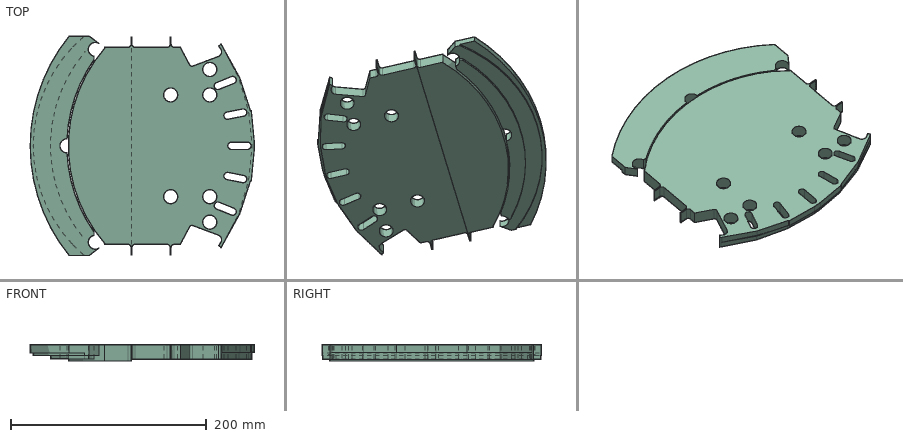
import cadquery as cq
import math


half_width = 112.185
total_height = 16.74
hole_radius = 7.05

plate_depth = 15.06
plate_front_x = 39.0
plate_front_radius = 152.6
plate_side_y = 100.8
plate_front_end_y = 99.9

side_end_x = 153.5
notch_root = (164.1, 80.8)
notch_root_fillet = 2.5
notch_end = (198.1, 93.5)
notch_end_fillet = 5.0
lug_inner_corner = (192.7, 101.9)
lug_tip = (195.1, 104.2)

lip_thickness = 7.9
rear_x = 229.16
rear_flat_half_width = 4.25
outer_facet_y = 69.5
inner_facet_y = 36.0
lip_outer_facet_x = 214.3
lip_inner_facet_x = 225.2
lip_step_x = 226.1
lower_start = (195.8, 103.0)
lower_outer_facet_x = 213.2
lower_inner_facet_x = 223.1
lower_rear_x = 226.5

fin_xs = (103.6, 143.6)
fin_thickness = 1.2
fin_tip_y = 111.4
fin_root_fillet = 2.9

deep_end_x = fin_xs[0]
deep_half_width = 104.4

hole_places = ((143.6, 52.0), (183.6, 52.0), (183.6, 78.0))
slot_length = 23.5
slot_width = 7.2
slot_angle_step = 11.0
slot_places = ((213.9, 0.0), (209.7, 32.4), (199.4, 64.2))

rim_gap = 1.35
rim_inner_radius = plate_front_radius + rim_gap
top_band_depth = 8.75
top_band_radius = 177.6
middle_band_depth = 11.3
middle_band_radius = 146.6
middle_band_front_x = 3.2
bottom_band_depth = 14.45
bottom_band_radius = 148.3
bottom_band_front_x = 20.8
bevel_start_x = 60.4
bevel_end = (70.5, 104.4)
rim_inner_end_x = 65.4
end_hole_place = (66.6, 98.5)
closing_overlap = 0.3
bottom_round_start_y = 95.4
bottom_round_middle = (57.2, 97.0)
bottom_round_end = (61.5, 97.4)


def arc_x(front_x, radius, y):
    """X at height y on an arc centred on the symmetry plane and bulging towards -X."""
    return front_x + radius - math.sqrt(radius**2 - y**2)


def arc_y(front_x, radius, x):
    """Y at place x on the positive-Y half of the same arc."""
    return math.sqrt(radius**2 - (front_x + radius - x) ** 2)


def half_arc_middle(front_x, radius, end_y):
    """Point halfway along the arc from the symmetry plane to end_y."""
    angle = math.asin(end_y / radius) / 2
    return (front_x + radius * (1 - math.cos(angle)), radius * math.sin(angle))


def drop(outline, depth):
    """Solid from the top face down to depth."""
    return outline.close().extrude(-depth)


def both_halves(half):
    return half.union(half.mirror("XZ")).clean()


def fillet_at(body, place, radius):
    """Round the vertical edge standing at place."""
    x, y = place
    reach = 0.1
    corner = cq.selectors.BoxSelector(
        (x - reach, y - reach, -2 * total_height),
        (x + reach, y + reach, total_height),
    )
    return body.edges("|Z").edges(corner).fillet(radius)


def plate_half(rear_points, depth):
    """Positive-Y half of the plate; rear_points run from the lug tip to the symmetry plane."""
    corner_x = arc_x(plate_front_x, plate_front_radius, plate_front_end_y)
    outline = (
        cq.Workplane("XY")
        .moveTo(plate_front_x, 0)
        .threePointArc(
            half_arc_middle(plate_front_x, plate_front_radius, plate_front_end_y),
            (corner_x, plate_front_end_y),
        )
        .lineTo(corner_x, plate_side_y)
        .lineTo(side_end_x, plate_side_y)
        .lineTo(*notch_root)
        .lineTo(*notch_end)
        .lineTo(*lug_inner_corner)
    )
    for point in rear_points:
        outline = outline.lineTo(*point)
    half = drop(outline, depth)
    half = fillet_at(half, notch_root, notch_root_fillet)
    half = fillet_at(half, notch_end, notch_end_fillet)
    return add_fins(half, depth)


def add_fins(half, depth):
    fin_length = fin_tip_y - plate_side_y
    for x in fin_xs:
        fin = (
            cq.Workplane("XY")
            .center(x, plate_side_y + fin_length / 2)
            .rect(fin_thickness, fin_length)
            .extrude(-depth)
        )
        half = half.union(fin)
        for side in (-1, 1):
            half = fillet_at(half, (x + side * fin_thickness / 2, plate_side_y), fin_root_fillet)
    return half


def make_plate():
    lip_points = (
        lug_tip,
        (lip_outer_facet_x, outer_facet_y),
        (lip_inner_facet_x, inner_facet_y),
        (lip_step_x, inner_facet_y),
        (rear_x, rear_flat_half_width),
        (rear_x, 0),
    )
    lower_points = (
        lug_tip,
        lower_start,
        (lower_outer_facet_x, outer_facet_y),
        (lower_inner_facet_x, inner_facet_y),
        (lower_rear_x, rear_flat_half_width),
        (lower_rear_x, 0),
    )
    lip = both_halves(plate_half(lip_points, lip_thickness))
    lower = both_halves(plate_half(lower_points, plate_depth))
    deep = both_halves(plate_half(lower_points, total_height))
    deep_zone = (
        cq.Workplane("XY")
        .rect(2 * deep_end_x, 2 * deep_half_width)
        .extrude(-total_height)
    )
    plate = lip.union(lower).union(deep.intersect(deep_zone))
    return cut_slots(cut_holes(plate))


def cut_holes(plate):
    places = [(x, side * y) for x, y in hole_places for side in (-1, 1)]
    holes = cq.Workplane("XY").pushPoints(places).circle(hole_radius).extrude(-total_height)
    return plate.cut(holes)


def cut_slots(plate):
    for index, (x, y) in enumerate(slot_places):
        slot = (
            cq.Workplane("XY")
            .transformed(offset=(x, y, 0), rotate=(0, 0, index * slot_angle_step))
            .slot2D(slot_length, slot_width)
            .extrude(-total_height)
        )
        plate = plate.cut(slot).cut(slot.mirror("XZ"))
    return plate


def close_rim_half(outline):
    """Finish a rim half outline along its inner arc, from the end beside the end hole to Y = 0."""
    inner_x = plate_front_x - rim_gap
    inner_end_y = arc_y(inner_x, rim_inner_radius, rim_inner_end_x)
    hole_side_y = end_hole_place[1] - hole_radius
    return (
        outline.lineTo(rim_inner_end_x, hole_side_y + closing_overlap)
        .lineTo(rim_inner_end_x, inner_end_y)
        .threePointArc(half_arc_middle(inner_x, rim_inner_radius, inner_end_y), (inner_x, 0))
    )


def full_band(front_x, radius, depth):
    """Rim band reaching the flat sides and the bevelled ends."""
    outline = (
        cq.Workplane("XY")
        .moveTo(front_x, 0)
        .threePointArc(
            half_arc_middle(front_x, radius, half_width),
            (arc_x(front_x, radius, half_width), half_width),
        )
        .lineTo(bevel_start_x, half_width)
        .lineTo(*bevel_end)
    )
    return both_halves(drop(close_rim_half(outline), depth))


def bottom_band():
    """Lowest band, with ends rounded off into the end holes."""
    start_x = arc_x(bottom_band_front_x, bottom_band_radius, bottom_round_start_y)
    outline = (
        cq.Workplane("XY")
        .moveTo(bottom_band_front_x, 0)
        .threePointArc(
            half_arc_middle(bottom_band_front_x, bottom_band_radius, bottom_round_start_y),
            (start_x, bottom_round_start_y),
        )
        .threePointArc(bottom_round_middle, bottom_round_end)
    )
    return both_halves(drop(close_rim_half(outline), bottom_band_depth))


def make_rim():
    rim = (
        full_band(0, top_band_radius, top_band_depth)
        .union(full_band(middle_band_front_x, middle_band_radius, middle_band_depth))
        .union(bottom_band())
    )
    end_x, end_y = end_hole_place
    places = [(plate_front_x - rim_gap, 0), (end_x, end_y), (end_x, -end_y)]
    holes = cq.Workplane("XY").pushPoints(places).circle(hole_radius).extrude(-total_height)
    return rim.cut(holes)


plate = make_plate()
rim = make_rim()
result = cq.Compound.makeCompound([plate.val(), rim.val()])